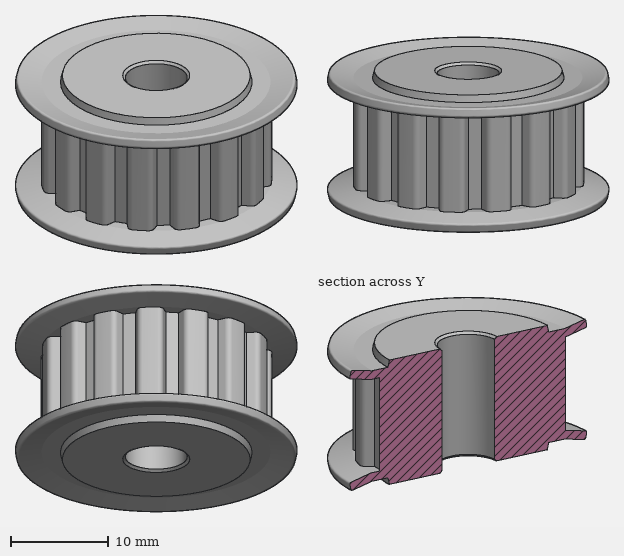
import cadquery as cq
import math

RIM_RADIUS = 14.48
TOTAL_HEIGHT = 13.65

TOOTH_COUNT = 15
TIP_RADIUS = 11.87
GROOVE_DEPTH = 1.27
GROOVE_FLOOR_WIDTH = 1.33
GROOVE_FLANK_ANGLE = 25.0
TOOTH_TIP_FILLET = 0.6
FIRST_GROOVE_ANGLE = 7.9
TOOTH_HEIGHT = 10.16

SHEET_THICKNESS = 0.98
DISH_ANGLE = 12.5
RIM_FILLET = 0.23

HUB_TOP_RADIUS = 9.65
HUB_TAPER = 15.0
BORE_RADIUS = 3.2
BORE_CHAMFER = 0.25


def make_toothed_body():
    """Cylinder with trapezoidal grooves and rounded tooth tips."""
    root_radius = TIP_RADIUS - GROOVE_DEPTH
    floor_half = GROOVE_FLOOR_WIDTH / 2
    flank_slope = math.tan(math.radians(GROOVE_FLANK_ANGLE))
    mouth_radius = TIP_RADIUS + GROOVE_DEPTH
    mouth_half = floor_half + (mouth_radius - root_radius) * flank_slope
    cutter = (
        cq.Workplane("XY")
        .polyline([
            (root_radius, -floor_half),
            (mouth_radius, -mouth_half),
            (mouth_radius, mouth_half),
            (root_radius, floor_half),
        ])
        .close()
        .extrude(TOOTH_HEIGHT / 2, both=True)
    )
    body = cq.Workplane("XY").circle(TIP_RADIUS).extrude(TOOTH_HEIGHT / 2, both=True)
    for index in range(TOOTH_COUNT):
        angle = FIRST_GROOVE_ANGLE + index * 360 / TOOTH_COUNT
        body = body.cut(cutter.rotate((0, 0, 0), (0, 0, 1), angle))

    tip_edges = [
        edge for edge in body.edges("|Z").vals()
        if math.hypot(edge.Center().x, edge.Center().y) > TIP_RADIUS - GROOVE_DEPTH / 4
    ]
    return body.newObject(tip_edges).fillet(TOOTH_TIP_FILLET)


def make_flange():
    """Upper flange: flat disc bent up into a cone, its edge square to the sheet."""
    slope = math.radians(DISH_ANGLE)
    under_z = TOOTH_HEIGHT / 2
    upper_z = under_z + SHEET_THICKNESS
    upper_bend_radius = TIP_RADIUS - SHEET_THICKNESS * math.tan(slope / 2)
    lower_rim_r = RIM_RADIUS + RIM_FILLET * (math.cos(slope) + math.sin(slope) - 1)
    lower_rim_z = under_z + (lower_rim_r - TIP_RADIUS) * math.tan(slope)
    upper_rim_r = lower_rim_r - SHEET_THICKNESS * math.sin(slope)
    upper_rim_z = lower_rim_z + SHEET_THICKNESS * math.cos(slope)
    flange = (
        cq.Workplane("XZ")
        .polyline([
            (0, under_z),
            (TIP_RADIUS, under_z),
            (lower_rim_r, lower_rim_z),
            (upper_rim_r, upper_rim_z),
            (upper_bend_radius, upper_z),
            (0, upper_z),
        ])
        .close()
        .revolve(360, (0, 0), (0, 1))
    )
    rim_edges = [
        edge for edge in flange.edges("%CIRCLE").vals()
        if edge.radius() > upper_rim_r - RIM_FILLET
    ]
    return flange.newObject(rim_edges).fillet(RIM_FILLET)


def make_hub():
    """Tapered hub end standing on the flat of the upper flange."""
    base_z = TOOTH_HEIGHT / 2 + SHEET_THICKNESS
    hub_height = TOTAL_HEIGHT / 2 - base_z
    base_radius = HUB_TOP_RADIUS + hub_height * math.tan(math.radians(HUB_TAPER))
    return (
        cq.Workplane("XY", origin=(0, 0, base_z))
        .circle(base_radius)
        .extrude(hub_height, taper=HUB_TAPER)
    )


def make_bore():
    """Through bore with a chamfer at both ends."""
    top_z = TOTAL_HEIGHT / 2
    mouth_radius = BORE_RADIUS + BORE_CHAMFER
    return (
        cq.Workplane("XZ")
        .polyline([
            (0, -top_z),
            (mouth_radius, -top_z),
            (BORE_RADIUS, -top_z + BORE_CHAMFER),
            (BORE_RADIUS, top_z - BORE_CHAMFER),
            (mouth_radius, top_z),
            (0, top_z),
        ])
        .close()
        .revolve(360, (0, 0), (0, 1))
    )


end_cap = make_flange().union(make_hub())
result = (
    make_toothed_body()
    .union(end_cap)
    .union(end_cap.mirror("XY"))
    .cut(make_bore())
)